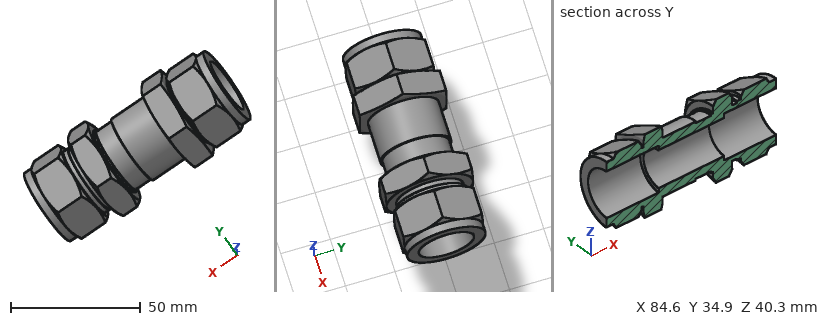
import cadquery as cq
import math

LENGTH = 84.6

NUT_FLATS = 31.7
NUT_COLLAR_LENGTH = 3.5
NUT_HEX_LENGTH = 14.0
NUT_CHAMFER_ANGLE = 30.0

BULKHEAD_FLATS = 34.9
BULKHEAD_HEX_LENGTH = 9.6
BODY_HEX_START = 18.4
BODY_HEX_CHAMFER_ANGLE = 13.0
LOCKNUT_START = 53.1
LOCKNUT_CHAMFER_ANGLE = 30.0

BODY_DIAMETER = 28.7
THREAD_DIAMETER = 27.15
SHOULDER_END = 44.5
WASHER_LENGTH = 1.0
THREAD_END = 65.0

TUBE_SOCKET_DIAMETER = 22.3
TUBE_SOCKET_DEPTH = 26.0
BORE_DIAMETER = 18.2


def cylinder(start, end, diameter):
    """Round bar along X from start to end."""
    return cq.Workplane("YZ", origin=(start, 0, 0)).circle(diameter / 2).extrude(end - start)


def chamfered_hex(start, length, flats, angle):
    """Hex prism along X, corners up and down, with conical chamfers that just reach the flats."""
    flat_radius = flats / 2
    corner_radius = flat_radius / math.cos(math.pi / 6)
    chamfer_length = (corner_radius - flat_radius) * math.tan(math.radians(angle))
    end = start + length
    prism = (
        cq.Workplane("YZ", origin=(start, 0, 0))
        .transformed(rotate=(0, 0, 90))
        .polygon(6, 2 * corner_radius)
        .extrude(length)
    )
    envelope = (
        cq.Workplane("XY")
        .moveTo(start, 0)
        .lineTo(start, flat_radius)
        .lineTo(start + chamfer_length, corner_radius)
        .lineTo(end - chamfer_length, corner_radius)
        .lineTo(end, flat_radius)
        .lineTo(end, 0)
        .close()
        .revolve(360, (0, 0, 0), (1, 0, 0))
    )
    return prism.intersect(envelope)


nut_length = NUT_COLLAR_LENGTH + NUT_HEX_LENGTH
body = cylinder(nut_length, SHOULDER_END, BODY_DIAMETER)
body = body.union(cylinder(SHOULDER_END, THREAD_END, THREAD_DIAMETER))
body = body.union(cylinder(THREAD_END, LENGTH - nut_length, BODY_DIAMETER))
body = body.union(cylinder(LOCKNUT_START - WASHER_LENGTH, LOCKNUT_START, BODY_DIAMETER))

body = body.union(
    chamfered_hex(BODY_HEX_START, BULKHEAD_HEX_LENGTH, BULKHEAD_FLATS, BODY_HEX_CHAMFER_ANGLE)
)
body = body.union(
    chamfered_hex(LOCKNUT_START, BULKHEAD_HEX_LENGTH, BULKHEAD_FLATS, LOCKNUT_CHAMFER_ANGLE)
)

for collar_start, hex_start in (
    (0, NUT_COLLAR_LENGTH),
    (LENGTH - NUT_COLLAR_LENGTH, LENGTH - nut_length),
):
    body = body.union(cylinder(collar_start, collar_start + NUT_COLLAR_LENGTH, NUT_FLATS))
    body = body.union(chamfered_hex(hex_start, NUT_HEX_LENGTH, NUT_FLATS, NUT_CHAMFER_ANGLE))

body = body.cut(cylinder(0, LENGTH, BORE_DIAMETER))
for socket_start in (0, LENGTH - TUBE_SOCKET_DEPTH):
    body = body.cut(cylinder(socket_start, socket_start + TUBE_SOCKET_DEPTH, TUBE_SOCKET_DIAMETER))

result = body